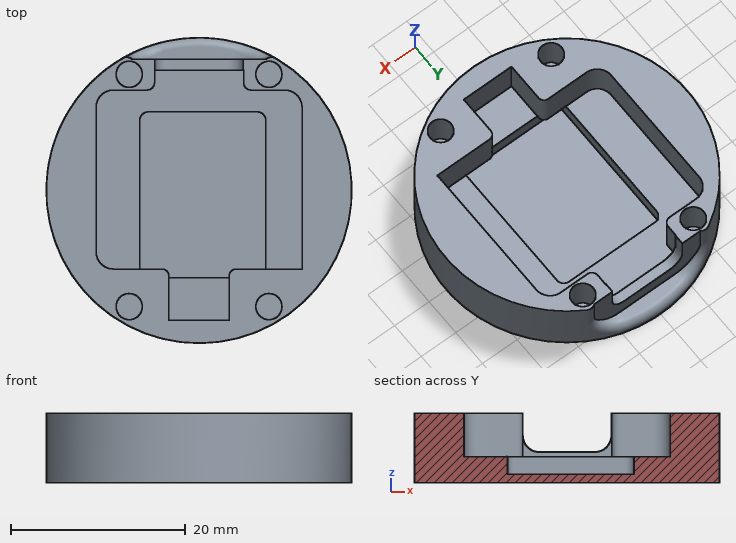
import cadquery as cq

body_diameter = 35.0
body_height = 8.0
body_radius = body_diameter / 2

pocket_half_width = 11.8
pocket_back_y = 11.5
pocket_front_y = -9.0
pocket_depth = 5.0
pocket_corner_radius = 2.0
pocket_floor_z = body_height - pocket_depth

neck_half_width = 5.1
neck_back_y = 13.75
neck_mouth_radius = 0.85
bay_half_width = 3.45
bay_front_y = -14.85
bay_mouth_radius = 0.8

recess_left_x = -6.8
recess_right_x = 7.65
recess_front_y = -10.0
recess_back_y = 9.0
recess_depth = 2.0
recess_corner_radius = 1.0

window_half_width = 5.05
window_sill_z = 3.55
window_corner_radius = 1.85

relief_half_width = 7.3
relief_face_y = 15.05
relief_ledge_z = 1.5
relief_corner_radius = 3.3
relief_edge_radius = 1.0

hole_diameter = 3.0
hole_depth = 5.0
hole_x = 8.0
hole_y = 13.3


def box(x_min, x_max, y_min, y_max, z_min, z_max):
    """Axis-aligned block between the given limits."""
    return (
        cq.Workplane("XY", origin=(0, 0, z_min))
        .moveTo(x_min, y_min)
        .lineTo(x_max, y_min)
        .lineTo(x_max, y_max)
        .lineTo(x_min, y_max)
        .close()
        .extrude(z_max - z_min)
    )


def vertical_edges_at(solid, points):
    """Vertical edges of the solid that stand on the given XY points."""
    tolerance = 0.01
    edges = []
    for edge in solid.edges("|Z").vals():
        center = edge.Center()
        for x, y in points:
            if abs(center.x - x) < tolerance and abs(center.y - y) < tolerance:
                edges.append(edge)
    return solid.newObject(edges)


def make_pocket():
    """Main pocket with its neck and bay; the front right corner stays sharp."""
    main = box(
        -pocket_half_width, pocket_half_width, pocket_front_y, pocket_back_y, pocket_floor_z, body_height
    )
    neck = box(-neck_half_width, neck_half_width, 0, neck_back_y, pocket_floor_z, body_height)
    bay = box(-bay_half_width, bay_half_width, bay_front_y, 0, pocket_floor_z, body_height)
    pocket = main.union(neck).union(bay)

    round_corners = [
        (-pocket_half_width, pocket_front_y),
        (-pocket_half_width, pocket_back_y),
        (pocket_half_width, pocket_back_y),
    ]
    neck_mouth = [
        (-neck_half_width, pocket_back_y),
        (neck_half_width, pocket_back_y),
    ]
    bay_mouth = [
        (-bay_half_width, pocket_front_y),
        (bay_half_width, pocket_front_y),
    ]
    pocket = vertical_edges_at(pocket, round_corners).fillet(pocket_corner_radius)
    pocket = vertical_edges_at(pocket, neck_mouth).fillet(neck_mouth_radius)
    return vertical_edges_at(pocket, bay_mouth).fillet(bay_mouth_radius)


def make_recess():
    """Recess below the pocket floor; it reaches slightly under the front wall."""
    recess = box(
        recess_left_x,
        recess_right_x,
        recess_front_y,
        recess_back_y,
        pocket_floor_z - recess_depth,
        pocket_floor_z,
    )
    return recess.edges("|Z and >Y").fillet(recess_corner_radius)


def make_opening(half_width, bottom_z, corner_radius, y_min, y_max):
    """Cutter open at the top face, with rounded lower corners, running along Y."""
    opening = box(-half_width, half_width, y_min, y_max, bottom_z, body_height)
    return opening.edges("|Y and <Z").fillet(corner_radius)


def make_body():
    """Disc whose rim is relieved at the back, with the rim edge of the relief rounded."""
    disc = cq.Workplane("XY").circle(body_radius).extrude(body_height)
    relief = make_opening(relief_half_width, relief_ledge_z, relief_corner_radius, 0, body_diameter)
    notched = disc.cut(relief)
    edge_margin = 0.1
    relief_rim = cq.selectors.BoxSelector(
        (-body_radius, relief_face_y, relief_ledge_z / 2),
        (body_radius, body_diameter, body_height - edge_margin),
    )
    rounded = notched.edges(relief_rim).fillet(relief_edge_radius)
    front = disc.intersect(box(-body_radius, body_radius, -body_radius, relief_face_y, 0, body_height))
    back = rounded.intersect(box(-body_radius, body_radius, relief_face_y, body_radius, 0, body_height))
    return front.union(back)


def make_holes():
    """Four blind holes from the top face."""
    return (
        cq.Workplane("XY", origin=(0, 0, body_height))
        .rect(2 * hole_x, 2 * hole_y, forConstruction=True)
        .vertices()
        .circle(hole_diameter / 2)
        .extrude(-hole_depth)
    )


window = make_opening(window_half_width, window_sill_z, window_corner_radius, pocket_back_y, relief_face_y)

result = make_body().cut(make_pocket()).cut(make_recess()).cut(window).cut(make_holes())